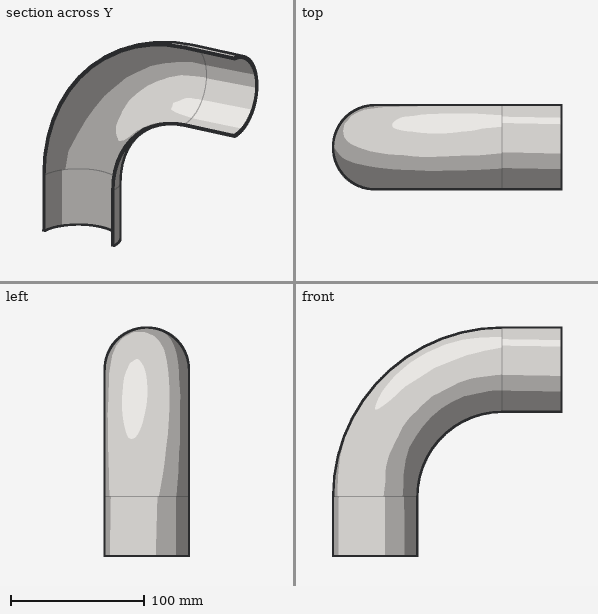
import cadquery as cq

overall_size = 171.5
outer_diameter = 63.5
bore_diameter = 60.2

bend_radius = 1.5 * outer_diameter
straight_length = overall_size - bend_radius - outer_diameter / 2


def elbow(diameter):
    """Solid round bar along the centreline, from the lower end (-Z) to the side end (+X)."""
    profile_radius = diameter / 2
    lower_end = cq.Workplane("XY").circle(profile_radius).extrude(straight_length)
    bend = (
        cq.Workplane("XY", origin=(0, 0, straight_length))
        .circle(profile_radius)
        .revolve(90, (bend_radius, 0, 0), (bend_radius, 1, 0))
    )
    side_end = (
        cq.Workplane("YZ", origin=(bend_radius, 0, straight_length + bend_radius))
        .circle(profile_radius)
        .extrude(straight_length)
    )
    return lower_end.union(bend).union(side_end)


result = elbow(outer_diameter).cut(elbow(bore_diameter))